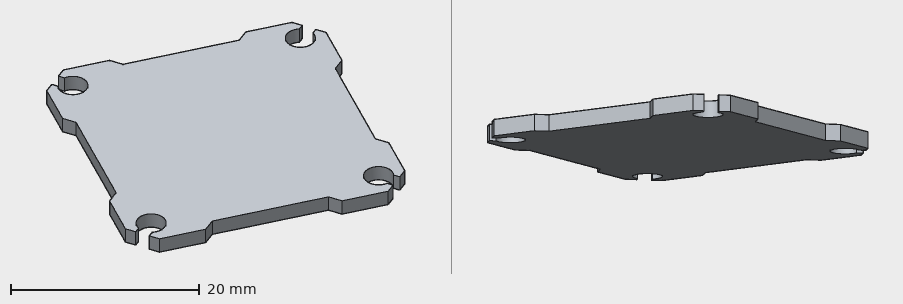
import cadquery as cq

side = 31.3
thickness = 1.8
corner_chamfer = 2.85

relief_depth = 1.13
relief_floor_half = 6.5
relief_mouth_half = relief_floor_half + relief_depth

hole_offset = 12.75
hole_diameter = 3.2
slot_width = 1.6
slot_length = 6.25

half = side / 2


def make_plate():
    plate = cq.Workplane("XY").box(side, side, thickness, centered=(True, True, False))
    return plate.edges("|Z").chamfer(corner_chamfer)


def make_edge_relief(angle):
    """Trapezoidal cutter on the +X edge, turned about Z by angle."""
    floor_x = half - relief_depth
    outline = [
        (floor_x, -relief_floor_half),
        (half, -relief_mouth_half),
        (half, relief_mouth_half),
        (floor_x, relief_floor_half),
    ]
    cutter = cq.Workplane("XY").polyline(outline).close().extrude(thickness)
    return cutter.rotate((0, 0, 0), (0, 0, 1), angle)


def make_corner_opening(angle):
    """Hole and outward slot at the +X +Y corner, turned about Z by angle."""
    hole = cq.Workplane("XY").circle(hole_diameter / 2).extrude(thickness)
    slot = cq.Workplane("XY").box(slot_length, slot_width, thickness, centered=(False, True, False))
    slot = slot.rotate((0, 0, 0), (0, 0, 1), 45)
    opening = hole.union(slot).translate((hole_offset, hole_offset, 0))
    return opening.rotate((0, 0, 0), (0, 0, 1), angle)


result = make_plate()
for quarter_turn in (0, 90, 180, 270):
    result = result.cut(make_edge_relief(quarter_turn))
    result = result.cut(make_corner_opening(quarter_turn))